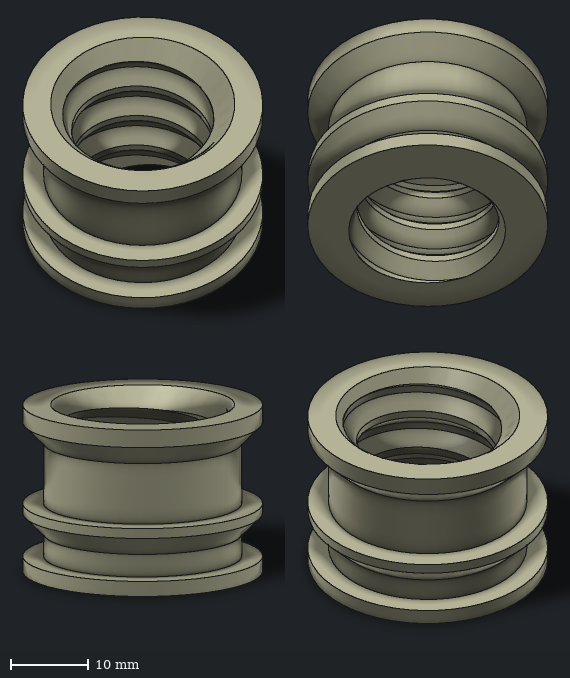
import cadquery as cq

outer_radius = 15.5
neck_radius = 12.8
height = 22.0
slope = outer_radius - neck_radius
bottom_flange_top = 2.0
middle_shoulder_start = 5.0
middle_flange_top = 9.0
top_flange_thickness = 2.32

bore_radius = 9.18
lead_in = 2.7

thread_depth = 1.77
root_width = 1.0
crest_width = 1.0
pitch = root_width + crest_width + 2 * thread_depth
upper_groove_height = 21.67
turns_below = 5
turns_above = 1
overcut = 0.15


def make_body():
    """Revolve the flanged ring, including its bore and lead-in."""
    top_flange_bottom = height - top_flange_thickness
    profile = [
        (bore_radius, 0),
        (outer_radius, 0),
        (outer_radius, bottom_flange_top),
        (neck_radius, bottom_flange_top),
        (neck_radius, middle_shoulder_start),
        (outer_radius, middle_shoulder_start + slope),
        (outer_radius, middle_flange_top),
        (neck_radius, middle_flange_top),
        (neck_radius, top_flange_bottom - slope),
        (outer_radius, top_flange_bottom),
        (outer_radius, height),
        (bore_radius + lead_in, height),
        (bore_radius, height - lead_in),
    ]
    return cq.Workplane("XZ").polyline(profile).close().revolve(360, (0, 0), (0, 1))


def make_groove_turn(start_height):
    """Sweep the groove section through one turn, starting on the +X side."""
    half_root = root_width / 2
    half_mouth = half_root + thread_depth + overcut
    inner = bore_radius - overcut
    root = bore_radius + thread_depth
    helix = cq.Wire.makeHelix(pitch, pitch, bore_radius, cq.Vector(0, 0, start_height))
    section = [
        (inner, start_height - half_mouth),
        (root, start_height - half_root),
        (root, start_height + half_root),
        (inner, start_height + half_mouth),
    ]
    return cq.Workplane("XZ").polyline(section).close().sweep(cq.Workplane(helix), isFrenet=True)


result = make_body()

for turn in range(-turns_below, turns_above):
    result = result.cut(make_groove_turn(upper_groove_height + turn * pitch))